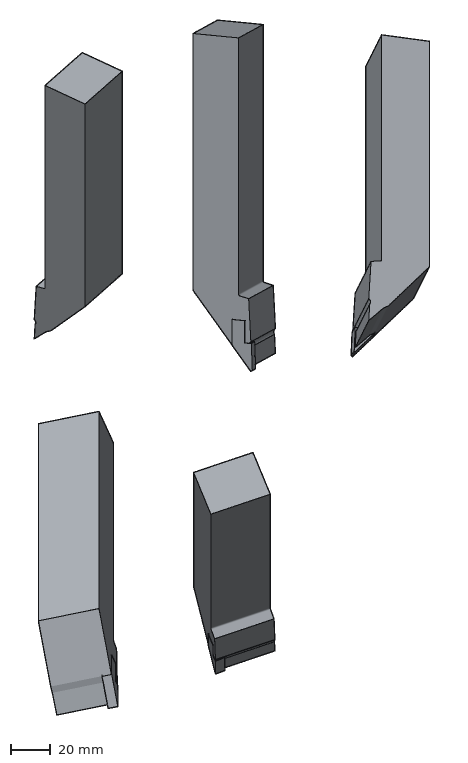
import cadquery as cq

TOTAL_HEIGHT = 171.4
SHANK_WIDTH = 24.8
HOLDER_DEPTH = 31.9

KNEE_Z = 38.9
LEDGE_INNER_Z = 38.5
LEDGE_FILLET = 0.9
LEDGE_OUTER = (-30.3, 37.4)
JAW_LIP = (-31.5, 15.3)
HOLLOW_RADIUS = 4.5 / 2
SEAT_TOP = (-31.0, 12.2)
NOSE = (-31.5, 2.4)
RELIEF_INNER = (-24.0, 10.8)

INSERT_WIDTH = 5.0
INSERT_PROUD = 0.2
INSERT_TIP_X = -31.5
CUTTING_EDGE = (-32.4, 0.5)
INSERT_LIP = (-31.9, 14.4)
CLAMPED_TOP_Z = 25.9
CLAMPED_FRONT_X = -28.3
INSERT_BACK_X = -21.2
EDGE_SKEW = 0.3
WEDGE_OVERRUN = 1.7

INSERT_BACK_Z = KNEE_Z * (1 - INSERT_BACK_X / INSERT_TIP_X)


def extrude_y(profile, y_start, y_end):
    """Extrude an XZ profile between two Y positions, y_start being the larger."""
    return profile.extrude(y_start - y_end).translate((0, y_start, 0))


def make_insert():
    outline = [
        (INSERT_TIP_X, 0),
        CUTTING_EDGE,
        INSERT_LIP,
        (CLAMPED_FRONT_X, INSERT_LIP[1]),
        (CLAMPED_FRONT_X, CLAMPED_TOP_Z),
        (INSERT_BACK_X, CLAMPED_TOP_Z),
        (INSERT_BACK_X, INSERT_BACK_Z),
    ]
    blade = extrude_y(cq.Workplane("XZ").polyline(outline).close(), INSERT_PROUD, -INSERT_WIDTH)
    face_direction = (INSERT_LIP[0] - CUTTING_EDGE[0], 0, INSERT_LIP[1] - CUTTING_EDGE[1])
    face_plane = cq.Plane((CUTTING_EDGE[0], 0, CUTTING_EDGE[1]), (0, 1, 0), face_direction)
    skew_wedge = (
        cq.Workplane(face_plane)
        .workplane(offset=-WEDGE_OVERRUN)
        .polyline([(INSERT_PROUD, 0), (-INSERT_WIDTH, 0), (-INSERT_WIDTH, -EDGE_SKEW)])
        .close()
        .extrude(INSERT_LIP[1] + WEDGE_OVERRUN)
    )
    return blade.cut(skew_wedge)


def make_holder(insert):
    profile = (
        cq.Workplane("XZ")
        .moveTo(0, KNEE_Z)
        .lineTo(0, TOTAL_HEIGHT)
        .lineTo(-SHANK_WIDTH, TOTAL_HEIGHT)
        .lineTo(-SHANK_WIDTH, LEDGE_INNER_Z)
        .lineTo(*LEDGE_OUTER)
        .lineTo(*JAW_LIP)
        .radiusArc(SEAT_TOP, HOLLOW_RADIUS)
        .lineTo(*NOSE)
        .lineTo(*RELIEF_INNER)
        .lineTo(INSERT_BACK_X, INSERT_BACK_Z)
        .close()
    )
    body = extrude_y(profile, 0, -HOLDER_DEPTH)
    ledge_corner = cq.selectors.NearestToPointSelector((-SHANK_WIDTH, -HOLDER_DEPTH / 2, LEDGE_INNER_Z))
    return body.edges(ledge_corner).fillet(LEDGE_FILLET).cut(insert)


cutting_insert = make_insert()
holder = make_holder(cutting_insert)

result = cq.Compound.makeCompound([holder.val(), cutting_insert.val()])